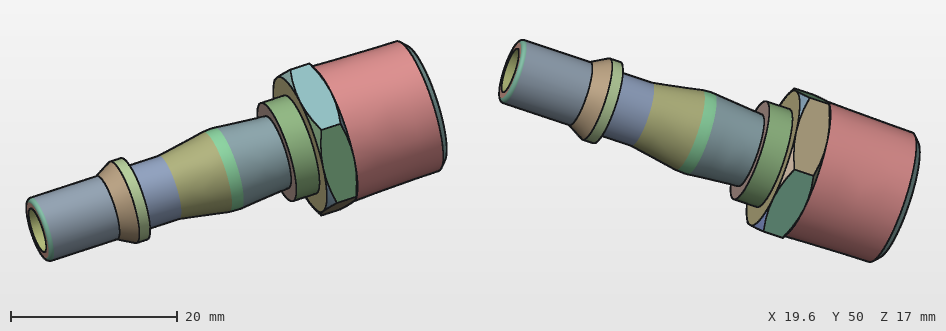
import cadquery as cq
import math

length = 50.0
bore_radius = 2.75

stem_radius = 4.0
tip_fillet_radius = 0.5
collar_radius = 5.15
collar_cone_start = 9.0
collar_front = 11.1
collar_back = 12.5

swell_start = 17.0
swell_peak = 24.1
swell_peak_radius = 5.15
swell_crest_radius = 5.75
swell_end_radius = 4.55
shoulder_start = 31.0
shoulder_radius = 6.2

hex_start = 34.0
hex_end = 38.0
across_flats = 17.0
hex_corner_radius = across_flats / math.sqrt(3)
hex_chamfer_angle = 30.0

thread_base_radius = 8.5
thread_end_radius = 8.2
thread_chamfer_length = 0.8
thread_chamfer_depth = 0.8


def revolve_about_axis(outline):
    """Turn a closed (radius, Y) outline about the Y axis."""
    return outline.close().revolve(360, (0, 0), (0, 1))


def crest_tangent_point(radius, y):
    """Point where a line from (radius, y) on the outline touches the rounded crest of the swelling."""
    center_radius = swell_peak_radius - swell_crest_radius
    radial_offset = radius - center_radius
    axial_offset = y - swell_peak
    distance = math.hypot(radial_offset, axial_offset)
    direction = math.atan2(axial_offset, radial_offset)
    swing = math.acos(swell_crest_radius / distance)
    angle = direction - math.copysign(swing, axial_offset)
    return (
        center_radius + swell_crest_radius * math.cos(angle),
        swell_peak + swell_crest_radius * math.sin(angle),
    )


def make_turned_body():
    outline = (
        cq.Workplane("XY")
        .lineTo(stem_radius - tip_fillet_radius, 0)
        .radiusArc((stem_radius, tip_fillet_radius), -tip_fillet_radius)
        .lineTo(stem_radius, collar_cone_start)
        .lineTo(collar_radius, collar_front)
        .lineTo(collar_radius, collar_back)
        .lineTo(stem_radius, collar_back)
        .lineTo(stem_radius, swell_start)
        .lineTo(*crest_tangent_point(stem_radius, swell_start))
        .threePointArc(
            (swell_peak_radius, swell_peak),
            crest_tangent_point(swell_end_radius, shoulder_start),
        )
        .lineTo(swell_end_radius, shoulder_start)
        .lineTo(shoulder_radius, shoulder_start)
        .lineTo(shoulder_radius, hex_start)
        .lineTo(thread_base_radius, hex_start)
        .lineTo(thread_base_radius, hex_end)
        .lineTo(thread_end_radius, length - thread_chamfer_length)
        .lineTo(thread_end_radius - thread_chamfer_depth, length)
        .lineTo(0, length)
    )
    return revolve_about_axis(outline)


def make_hexagon():
    """Hexagon with corners on the X axis, chamfered on both faces down to the flats."""
    prism = (
        cq.Workplane("XZ", origin=(0, hex_end, 0))
        .polygon(6, 2 * hex_corner_radius)
        .extrude(hex_end - hex_start)
    )
    face_radius = across_flats / 2
    chamfer_depth = hex_corner_radius - face_radius
    chamfer_length = chamfer_depth * math.tan(math.radians(hex_chamfer_angle))
    outline = cq.Workplane("XY").polyline([
        (0, hex_start),
        (face_radius, hex_start),
        (hex_corner_radius, hex_start + chamfer_length),
        (hex_corner_radius, hex_end - chamfer_length),
        (face_radius, hex_end),
        (0, hex_end),
    ])
    return prism.intersect(revolve_about_axis(outline))


def make_bore():
    return cq.Workplane("XZ", origin=(0, length, 0)).circle(bore_radius).extrude(length)


result = make_turned_body().union(make_hexagon()).cut(make_bore())